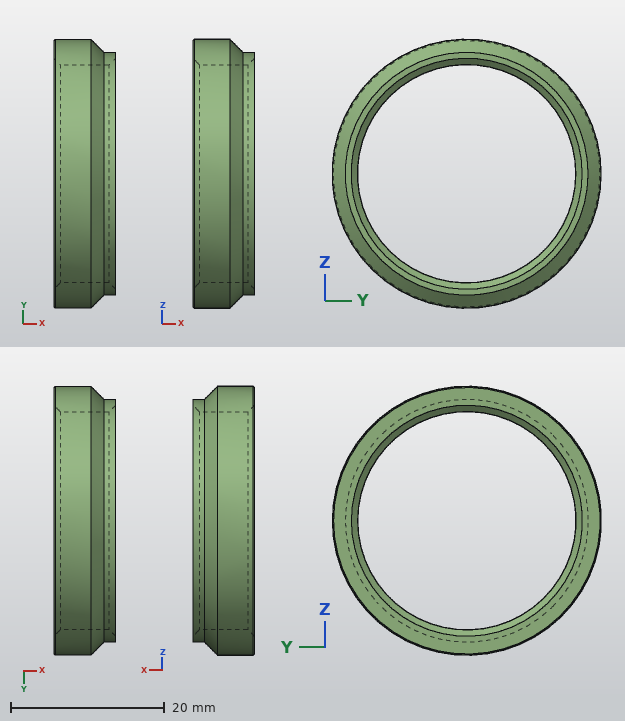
import cadquery as cq

ring_width = 8.0
outer_radius = 17.5
bore_radius = 14.18

rim_width = 1.5
rim_drop = 1.7
rim_radius = outer_radius - rim_drop

outer_chamfer = 0.18
bore_chamfer = 0.85

rim_start = ring_width - rim_width
cone_start = rim_start - rim_drop

section = (
    cq.Workplane("XY")
    .moveTo(0, bore_radius + bore_chamfer)
    .lineTo(0, outer_radius - outer_chamfer)
    .lineTo(outer_chamfer, outer_radius)
    .lineTo(cone_start, outer_radius)
    .lineTo(rim_start, rim_radius)
    .lineTo(ring_width, rim_radius)
    .lineTo(ring_width, bore_radius + bore_chamfer)
    .lineTo(ring_width - bore_chamfer, bore_radius)
    .lineTo(bore_chamfer, bore_radius)
    .close()
)

ring = section.revolve(360, (0, 0, 0), (1, 0, 0))
result = ring.translate((-ring_width / 2, 0, 0))